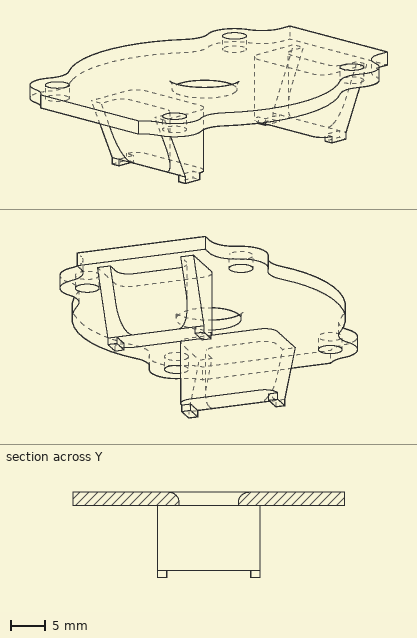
import cadquery as cq
import math

plate_thickness = 2.0
disc_radius = 20.0
neck_half_width = 10.0
top_edge_y = 28.0
bottom_edge_y = -24.0

lug_x = 12.0
lug_y = 18.5
lug_radius = 4.0
blend_radius = 4.0
screw_hole_diameter = 3.5

centre_hole_diameter = 9.5
rim_radius = 1.5

leg_pair_y = 5.125
leg_half_width = 7.5
leg_height = 9.5
tab_height = 1.0
tab_width = 1.4
leg_corner_radius = 2.0
leg_inner_offset = 11.775
tab_inner_offset = leg_inner_offset + leg_corner_radius
tab_depth = 3.0
tab_outer_offset = tab_inner_offset + tab_depth
leg_root_offset = 21.1
side_wall = 2.0
pocket_half_width = leg_half_width - side_wall


def circle_meeting(center_a, radius_a, center_b, radius_b):
    """Meeting point of two circles, on the left of the line from centre a to centre b."""
    dx = center_b[0] - center_a[0]
    dy = center_b[1] - center_a[1]
    distance = math.hypot(dx, dy)
    along = (distance**2 + radius_a**2 - radius_b**2) / (2 * distance)
    aside = math.sqrt(radius_a**2 - along**2)
    ux = dx / distance
    uy = dy / distance
    return (center_a[0] + along * ux - aside * uy, center_a[1] + along * uy + aside * ux)


def toward(start, target, distance):
    """Point at the given distance from start in the direction of target."""
    ratio = distance / math.dist(start, target)
    return (start[0] + ratio * (target[0] - start[0]), start[1] + ratio * (target[1] - start[1]))


def arc_middle(center, start, end):
    """Middle point of the shorter arc from start to end about center."""
    chord_middle = ((start[0] + end[0]) / 2, (start[1] + end[1]) / 2)
    return toward(center, chord_middle, math.dist(center, start))


def flip_y(point):
    return (point[0], -point[1])


def right_half_plate():
    """Half of the plate outline on +X, from the bottom edge up to the top edge."""
    origin = (0, 0)
    lug = (lug_x, lug_y)
    lower_lug = flip_y(lug)
    blend_reach = lug_radius + blend_radius

    waist = circle_meeting(lug, blend_reach, origin, disc_radius + blend_radius)
    waist_on_disc = toward(origin, waist, disc_radius)
    waist_on_lug = toward(lug, waist, lug_radius)
    waist_middle = arc_middle(waist, waist_on_disc, waist_on_lug)

    neck_x = neck_half_width + blend_radius
    neck = (neck_x, lug_y + math.sqrt(blend_reach**2 - (neck_x - lug_x) ** 2))
    neck_on_side = (neck_half_width, neck[1])
    neck_on_lug = toward(lug, neck, lug_radius)

    corner = (neck_half_width, bottom_edge_y)
    foot = circle_meeting(lower_lug, blend_reach, corner, blend_radius)
    foot_on_lug = toward(lower_lug, foot, lug_radius)

    outer_lug_point = (lug_x + lug_radius, lug_y)
    return (
        cq.Workplane("XY")
        .moveTo(0, bottom_edge_y)
        .lineTo(*corner)
        .threePointArc(arc_middle(foot, corner, foot_on_lug), foot_on_lug)
        .threePointArc(flip_y(outer_lug_point), flip_y(waist_on_lug))
        .threePointArc(flip_y(waist_middle), flip_y(waist_on_disc))
        .threePointArc((disc_radius, 0), waist_on_disc)
        .threePointArc(waist_middle, waist_on_lug)
        .threePointArc(outer_lug_point, neck_on_lug)
        .threePointArc(arc_middle(neck, neck_on_lug, neck_on_side), neck_on_side)
        .lineTo(neck_half_width, top_edge_y)
        .lineTo(0, top_edge_y)
        .close()
        .extrude(plate_thickness)
    )


def make_plate():
    half = right_half_plate()
    plate = half.union(half.mirror("YZ")).clean()
    screw_places = [(x, y) for x in (-lug_x, lug_x) for y in (-lug_y, lug_y)]
    screw_holes = (
        cq.Workplane("XY").pushPoints(screw_places).circle(screw_hole_diameter / 2).extrude(plate_thickness)
    )
    centre_hole = cq.Workplane("XY").circle(centre_hole_diameter / 2).extrude(plate_thickness)
    rim_edge = cq.selectors.NearestToPointSelector((0, 0, plate_thickness))
    plate = plate.cut(centre_hole).faces(">Z").edges(rim_edge).fillet(rim_radius)
    return plate.cut(screw_holes)


def make_leg():
    """Leg on the +Y side of the pair, with the middle of the pair at Y = 0."""
    leg = (
        cq.Workplane("YZ")
        .moveTo(leg_inner_offset, 0)
        .lineTo(leg_inner_offset, -leg_height)
        .lineTo(tab_inner_offset, -leg_height)
        .lineTo(tab_inner_offset, -leg_height - tab_height)
        .lineTo(tab_outer_offset, -leg_height - tab_height)
        .lineTo(tab_outer_offset, -leg_height)
        .lineTo(leg_root_offset, 0)
        .close()
        .extrude(leg_half_width, both=True)
    )
    leg = leg.edges("|Z and <Y").fillet(leg_corner_radius)

    gap = (
        cq.Workplane("XY", origin=(0, 0, -leg_height))
        .rect(2 * (leg_half_width - tab_width), 2 * leg_root_offset)
        .extrude(-tab_height)
    )

    pocket = (
        cq.Workplane("XY")
        .rect(2 * pocket_half_width, 2 * (leg_root_offset - tab_outer_offset))
        .extrude(-leg_height)
        .translate((0, leg_root_offset, 0))
        .edges("|Z and <Y")
        .fillet(leg_corner_radius)
    )
    return leg.cut(gap).cut(pocket)


leg = make_leg()
result = make_plate()
for one_leg in (leg, leg.mirror("XZ")):
    result = result.union(one_leg.translate((0, leg_pair_y, 0)))